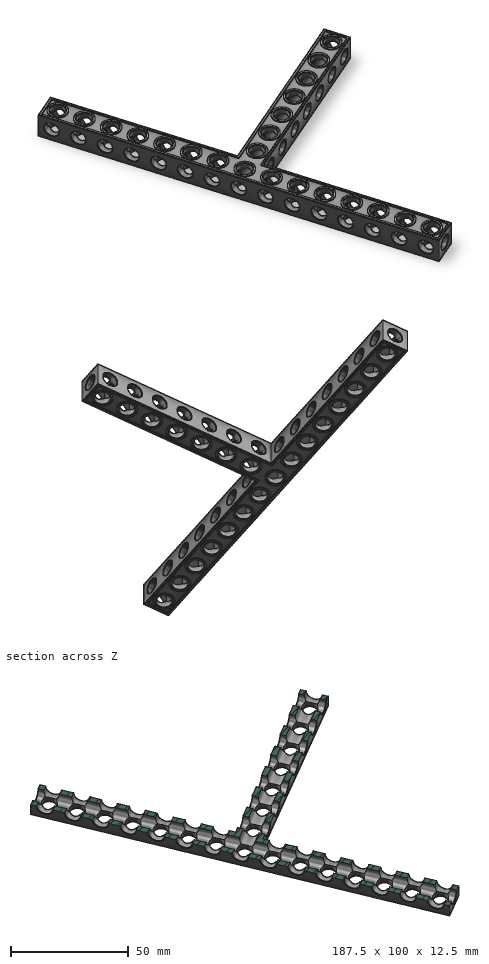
import cadquery as cq

length = 187.5
units_long = 15
units_deep = 8
hole_diameter = 7.0
ring_diameter = 9.2
rim_width = 1.1
recess_depth = 0.5
chamfer_size = 0.28

pitch = length / units_long
half = pitch / 2
depth = units_deep * pitch
stem_center_y = (units_deep - 1) * half
stem_end_y = depth - half

bar_xs = [(i - (units_long - 1) / 2) * pitch for i in range(units_long)]
stem_ys = [i * pitch for i in range(units_deep)]
bar_points = [(x, 0) for x in bar_xs]
stem_points = [(0, y) for y in stem_ys[1:]]


def tee(height, inset=0):
    """T-shaped slab centred on Z = 0, its outline pulled in by inset."""
    width = pitch - 2 * inset
    bar = cq.Workplane("XY").box(length - 2 * inset, width, height)
    stem = cq.Workplane("XY").box(width, depth - 2 * inset, height).translate((0, stem_center_y, 0))
    return bar.union(stem).clean()


def top_recess():
    """Floor between the rim and the hole rings, cut from the upper face."""
    rings = cq.Workplane("XY").pushPoints(bar_points + stem_points).circle(ring_diameter / 2)
    recess = tee(recess_depth, rim_width).cut(rings.extrude(recess_depth, both=True))
    return recess.translate((0, 0, half - recess_depth / 2))


def hole(start, end):
    """Through hole from start to end with a small chamfer at both mouths."""
    axis = cq.Vector(*end) - cq.Vector(*start)
    plane = cq.Plane(origin=start, normal=axis.toTuple())
    radius = hole_diameter / 2
    wide = radius + chamfer_size
    run = axis.Length
    profile = [
        (0, 0),
        (wide, 0),
        (radius, chamfer_size),
        (radius, run - chamfer_size),
        (wide, run),
        (0, run),
    ]
    cutter = cq.Workplane("XZ").polyline(profile).close().revolve(360, (0, 0), (0, 1))
    return cq.Workplane(cutter.val().moved(cq.Location(plane)))


body = tee(pitch).faces("|Z").edges().chamfer(chamfer_size)
recess = top_recess()
body = body.cut(recess).cut(recess.mirror("XY"))

for x, y in bar_points + stem_points:
    body = body.cut(hole((x, y, -half), (x, y, half)))

for x in bar_xs:
    far_y = stem_end_y if abs(x) < half else half
    body = body.cut(hole((x, -half, 0), (x, far_y, 0)))

for y in stem_ys:
    reach = half if y > 0 else length / 2
    body = body.cut(hole((-reach, y, 0), (reach, y, 0)))

result = body